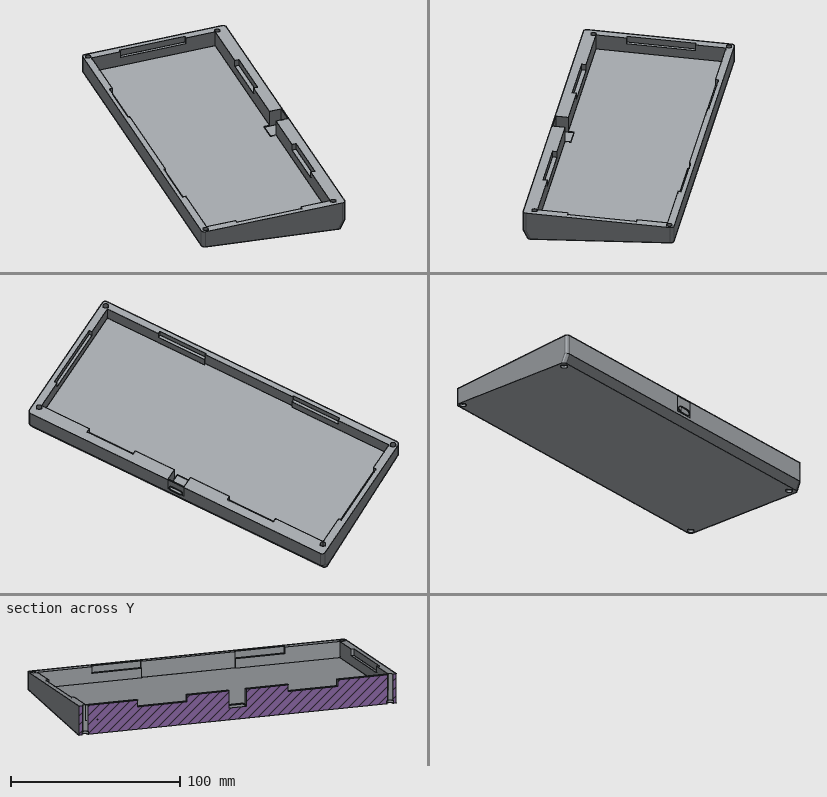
import cadquery as cq

length = 201.5
width = 90.7
height = 18.3
front_height = 10.7
rear_height = 12.9
rear_setback = 2.6
corner_radius = 2.0

side_wall = 4.8
front_wall = 4.5
rear_wall = 8.0
cavity_depth = 9.9
floor_z = height - cavity_depth
cavity_front = front_wall - width / 2
cavity_rear = width / 2 - rear_wall
cavity_half_length = length / 2 - side_wall

slot_depth = 4.0
rear_slot_length = 31.2
rear_slot_offset = 47.8
rear_slot_wall = 5.5
front_slot_length = 31.5
front_slot_offset = 45.5
front_slot_wall = 2.6
side_slot_length = 41.3
side_slot_y = -1.8
side_slot_wall = 3.0

relief_length = 2 * front_slot_offset - front_slot_length
relief_wall = 3.5

bay_size = 10.9
bay_rear_wall = 0.6
bay_floor_drop = 0.6
port_width = 9.0
port_height = 4.0
port_depth = 8.3

screw_diameter = 3.2
head_diameter = 4.0
head_depth = 1.8
front_screw_inset_x = 2.8
front_screw_inset_y = 3.0
rear_screw_inset_x = 4.0
rear_screw_inset_y = 6.5


def block(x_min, x_max, y_min, y_max, z_min, z_max):
    """Axis-aligned box given by its limits."""
    return cq.Workplane("XY").box(
        x_max - x_min, y_max - y_min, z_max - z_min, centered=False
    ).translate((x_min, y_min, z_min))


def underside_z(y):
    """Height of the sloping underside at a given Y."""
    slope_run = width - rear_setback
    front_rise = height - front_height
    return front_rise * (width / 2 - rear_setback - y) / slope_run


def wedge_body():
    """Wedge side profile run along X, with its four corners rounded."""
    profile = [
        (-width / 2, height),
        (-width / 2, height - front_height),
        (width / 2 - rear_setback, 0),
        (width / 2, height - rear_height),
        (width / 2, height),
    ]
    body = cq.Workplane("YZ").polyline(profile).close().extrude(length / 2, both=True)
    front_corners = body.faces("<Y").edges("|Z").vals()
    rear_corners = body.faces(">Y").edges("|Z").vals()
    lower_rear = body.faces(cq.selectors.NearestToPointSelector(
        (0, width / 2 - rear_setback / 2, (height - rear_height) / 2)))
    lower_corners = lower_rear.edges("not |X").vals()
    return body.newObject(front_corners + rear_corners + lower_corners).fillet(corner_radius)


def cavity():
    """Main cavity with the relief in its front wall."""
    main = block(-cavity_half_length, cavity_half_length, cavity_front, cavity_rear, floor_z, height)
    relief = block(-relief_length / 2, relief_length / 2, relief_wall - width / 2, 0, floor_z, height)
    return main.union(relief)


def rim_slots():
    """Two slots in each long wall and one in each end wall."""
    slot_z = height - slot_depth
    x_outer = length / 2 - side_slot_wall
    slots = block(-x_outer, x_outer, side_slot_y - side_slot_length / 2,
                  side_slot_y + side_slot_length / 2, slot_z, height)
    for side in (-1, 1):
        rear_x = side * rear_slot_offset
        slots = slots.union(block(rear_x - rear_slot_length / 2, rear_x + rear_slot_length / 2,
                                  0, width / 2 - rear_slot_wall, slot_z, height))
        front_x = side * front_slot_offset
        slots = slots.union(block(front_x - front_slot_length / 2, front_x + front_slot_length / 2,
                                  front_slot_wall - width / 2, 0, slot_z, height))
    return slots


def connector_bay():
    """Square bay cut through the rear wall's inner side, plus the port through the thin wall."""
    bay_rear = width / 2 - bay_rear_wall
    bay = block(-bay_size / 2, bay_size / 2, bay_rear - bay_size, bay_rear,
                floor_z - bay_floor_drop, height)
    port = cq.Workplane("XZ", origin=(0, width / 2, height - port_depth)).slot2D(
        port_width, port_height).extrude(bay_size / 2)
    return bay.union(port)


def screw_hole(x, y):
    """Through hole with a head counterbore measured from the underside."""
    shank = cq.Workplane("XY").center(x, y).circle(screw_diameter / 2).extrude(height)
    head = cq.Workplane("XY").center(x, y).circle(head_diameter / 2).extrude(underside_z(y) + head_depth)
    return shank.union(head)


result = wedge_body().cut(cavity()).cut(rim_slots()).cut(connector_bay())
for side in (-1, 1):
    front_x = side * (length / 2 - front_screw_inset_x)
    rear_x = side * (length / 2 - rear_screw_inset_x)
    result = result.cut(screw_hole(front_x, front_screw_inset_y - width / 2))
    result = result.cut(screw_hole(rear_x, width / 2 - rear_screw_inset_y))